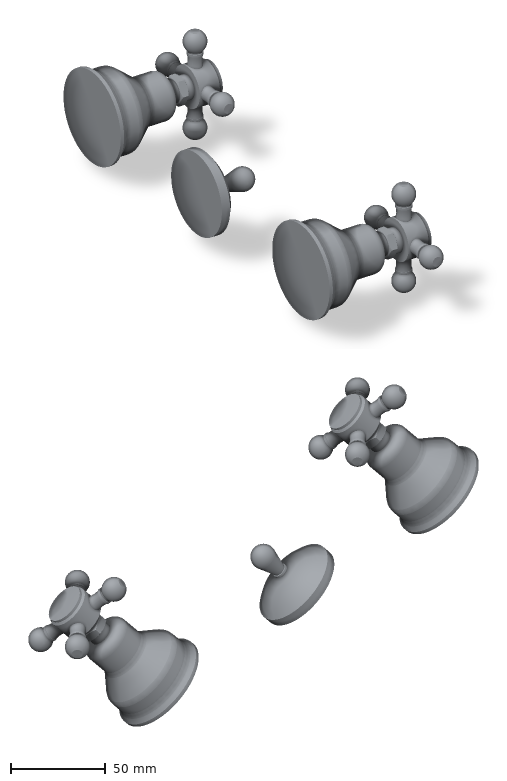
import cadquery as cq
import math


overall_length = 264.0
handle_span = 64.2
tip_reach = handle_span / 2
valve_offset = overall_length / 2 - tip_reach

flange_radius = 27.5
flange_thickness = 2.0
skirt_radius = 48.9 / 2
collar_radius = 27.7 / 2
bell_height = 46.5
slope = 0.8
flare_top = flange_thickness + (flange_radius - skirt_radius) / slope
skirt_top = 15.5
cone_top = skirt_top + (skirt_radius - collar_radius) / slope
bell_fillet = 5.0

stem_radius = 13.0 / 2
neck_radius = 7.0
nut_bottom = 51.2
nut_thickness = 5.0
nut_sides = 6
nut_flats = 15.0
nut_corners = nut_flats / math.cos(math.pi / nut_sides)
nut_chamfer_height = 0.8
nut_chamfer_width = 1.3

hub_radius = 24.5 / 2
hub_bottom = 60.2
hub_top = 74.0
hub_chamfer = 1.0
cap_radius = 11.0
cap_edge_height = 75.5
overall_height = 76.3

arm_count = 4
arm_height = 65.2
arm_end_radius = 8.7 / 2
arm_waist_radius = 4.0
arm_root = 11.5
ring_start = 18.7
ring_end = 20.0
ring_radius = 9.2 / 2
ball_neck_radius = 7.7 / 2
ball_radius = 6.5
ball_center = 26.1
tip_flat_radius = math.sqrt(ball_radius**2 - (tip_reach - ball_center) ** 2)
ball_start = ball_center - math.sqrt(ball_radius**2 - ball_neck_radius**2)

lid_radius = 24.3
lid_edge_height = 5.3
dome_height = 14.5

knob_foot_radius = 3.5
knob_ring_radius = 4.2
knob_ring_height = 1.3
knob_ring_bottom = 15.0
knob_ball_radius = 6.9
knob_ball_center = 29.0
knob_taper = math.radians(19)


def turned(profile):
    """Revolve a closed (radius, height) profile about the Y axis."""
    return profile.close().revolve(360, (0, 0, 0), (0, 1, 0))


def make_bell():
    bell = turned(
        cq.Workplane("XY")
        .lineTo(flange_radius, 0)
        .lineTo(flange_radius, flange_thickness)
        .lineTo(skirt_radius, flare_top)
        .lineTo(skirt_radius, skirt_top)
        .lineTo(collar_radius, cone_top)
        .lineTo(collar_radius, bell_height)
        .lineTo(0, bell_height)
    )
    for height in (flare_top, skirt_top, cone_top, bell_height):
        rim = cq.selectors.NearestToPointSelector((0, height, 0))
        bell = bell.edges(rim).fillet(bell_fillet)
    return bell


def make_nut():
    nut_top = nut_bottom + nut_thickness
    corner_radius = nut_corners / 2
    chamfered_radius = corner_radius - nut_chamfer_width
    prism = (
        cq.Workplane("XZ", origin=(0, nut_bottom, 0))
        .polygon(nut_sides, nut_corners)
        .extrude(-nut_thickness)
    )
    chamfer_envelope = turned(
        cq.Workplane("XY")
        .moveTo(0, nut_bottom)
        .lineTo(chamfered_radius, nut_bottom)
        .lineTo(corner_radius, nut_bottom + nut_chamfer_height)
        .lineTo(corner_radius, nut_top - nut_chamfer_height)
        .lineTo(chamfered_radius, nut_top)
        .lineTo(0, nut_top)
    )
    return prism.intersect(chamfer_envelope)


def make_spindle():
    """Stem, neck, hub and slightly domed cap as one turned shape."""
    nut_middle = nut_bottom + nut_thickness / 2
    cap_rise = overall_height - cap_edge_height
    dome_radius = (cap_radius**2 + cap_rise**2) / (2 * cap_rise)
    middle_radius = cap_radius / 2
    middle_height = overall_height - dome_radius + math.sqrt(dome_radius**2 - middle_radius**2)
    return turned(
        cq.Workplane("XY")
        .moveTo(0, bell_height)
        .lineTo(stem_radius, bell_height)
        .lineTo(stem_radius, nut_middle)
        .lineTo(neck_radius, nut_middle)
        .lineTo(neck_radius, hub_bottom)
        .lineTo(hub_radius, hub_bottom)
        .lineTo(hub_radius, hub_top - hub_chamfer)
        .lineTo(hub_radius - hub_chamfer, hub_top)
        .lineTo(cap_radius, hub_top)
        .lineTo(cap_radius, cap_edge_height)
        .threePointArc((middle_radius, middle_height), (0, overall_height))
    )


def make_arm():
    """One arm with its ring and ball, pointing along +Y from the hub axis."""
    waist = (arm_waist_radius, (arm_root + ring_start) / 2)
    return turned(
        cq.Workplane("XY")
        .lineTo(arm_end_radius, 0)
        .lineTo(arm_end_radius, arm_root)
        .threePointArc(waist, (arm_end_radius, ring_start))
        .lineTo(ring_radius, ring_start)
        .lineTo(ring_radius, ring_end)
        .lineTo(ball_neck_radius, ring_end)
        .lineTo(ball_neck_radius, ball_start)
        .threePointArc((ball_radius, ball_center), (tip_flat_radius, tip_reach))
        .lineTo(0, tip_reach)
    )


def make_valve():
    """One complete valve: bell, stem, nut, hub and cross handle in one solid."""
    valve = make_bell().union(make_spindle()).union(make_nut())
    upright_arm = make_arm().rotate((0, 0, 0), (1, 0, 0), 90).translate((0, arm_height, 0))
    for index in range(arm_count):
        turn = index * 360 / arm_count
        valve = valve.union(upright_arm.rotate((0, 0, 0), (0, 1, 0), turn))
    return valve


def dome_surface(radius):
    """Height of the lid's spherical dome at a given radius."""
    rise = dome_height - lid_edge_height
    sphere_radius = (lid_radius**2 + rise**2) / (2 * rise)
    return dome_height - sphere_radius + math.sqrt(sphere_radius**2 - radius**2)


seat_height = dome_surface(knob_foot_radius)


def make_knob():
    ring_top = knob_ring_bottom + knob_ring_height
    tangent_radius = knob_ball_radius * math.cos(knob_taper)
    tangent_height = knob_ball_center - knob_ball_radius * math.sin(knob_taper)
    diagonal = knob_ball_radius * math.sqrt(0.5)
    return turned(
        cq.Workplane("XY")
        .moveTo(0, seat_height)
        .lineTo(knob_foot_radius, seat_height)
        .lineTo(knob_foot_radius, knob_ring_bottom)
        .lineTo(knob_ring_radius, knob_ring_bottom)
        .lineTo(knob_ring_radius, ring_top)
        .lineTo(knob_foot_radius, ring_top)
        .lineTo(tangent_radius, tangent_height)
        .threePointArc((diagonal, knob_ball_center + diagonal), (0, knob_ball_center + knob_ball_radius))
    )


def make_lid():
    middle_radius = lid_radius / 2
    return turned(
        cq.Workplane("XY")
        .lineTo(lid_radius, 0)
        .lineTo(lid_radius, lid_edge_height)
        .threePointArc((middle_radius, dome_surface(middle_radius)), (knob_foot_radius, seat_height))
        .lineTo(0, seat_height)
    )


valve = make_valve()
valves = [valve.translate((side * valve_offset, 0, 0)).val() for side in (-1, 1)]
lid = make_lid()
knob = make_knob()

result = cq.Compound.makeCompound([*valves, lid.val(), knob.val()])